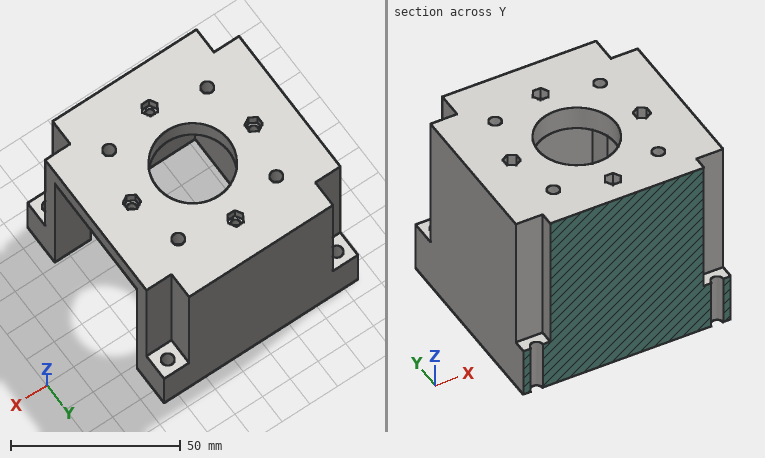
import cadquery as cq

width = 70.0
height = 63.0
corner_notch = 9.0
foot_height = 17.0
top_thickness = 8.0

bore_diameter = 26.1
foot_hole_diameter = 4.0
plate_hole_diameter = 4.0
plate_hole_offset = 17.7
nut_hole_diameter = 3.0
nut_hole_radius = 22.0
nut_corner_diameter = 5.3
nut_depth = top_thickness / 2

cavity_length_x = 43.95
cavity_length_y = 59.9
side_opening_width = 42.0

half_width = width / 2
foot_centre = half_width - corner_notch / 2
cavity_height = height - top_thickness


def corners(offset):
    """Four points at equal X and Y distances from the centre."""
    return [(x, y) for x in (-offset, offset) for y in (-offset, offset)]


def make_block():
    """Square block whose vertical corners are notched down to the feet."""
    block = cq.Workplane("XY").box(width, width, height, centered=(True, True, False))
    notches = (
        cq.Workplane("XY")
        .workplane(offset=foot_height)
        .pushPoints(corners(foot_centre))
        .rect(corner_notch, corner_notch)
        .extrude(height - foot_height)
    )
    return block.cut(notches)


def make_cavity():
    """Cavity open at the bottom, with a straight opening through the +X wall."""
    room = cq.Workplane("XY").rect(cavity_length_x, cavity_length_y).extrude(cavity_height)
    side_opening = (
        cq.Workplane("XY")
        .center(half_width / 2, 0)
        .rect(half_width, side_opening_width)
        .extrude(cavity_height)
    )
    return room.union(side_opening)


def make_round_holes(points, diameter):
    """Round cutters through the full height."""
    return cq.Workplane("XY").pushPoints(points).circle(diameter / 2).extrude(height)


def make_nut_hole(angle):
    """Round hole under a hexagonal nut pocket that has a flat facing the bore."""
    hole = make_round_holes([(0, nut_hole_radius)], nut_hole_diameter)
    pocket = (
        cq.Workplane("XY")
        .workplane(offset=height - nut_depth)
        .center(0, nut_hole_radius)
        .polygon(6, nut_corner_diameter)
        .extrude(nut_depth)
    )
    return hole.union(pocket).rotate((0, 0, 0), (0, 0, 1), angle)


result = make_block().cut(make_cavity())
result = result.cut(make_round_holes([(0, 0)], bore_diameter))
result = result.cut(make_round_holes(corners(foot_centre), foot_hole_diameter))
result = result.cut(make_round_holes(corners(plate_hole_offset), plate_hole_diameter))
for nut_angle in (0, 90, 180, 270):
    result = result.cut(make_nut_hole(nut_angle))